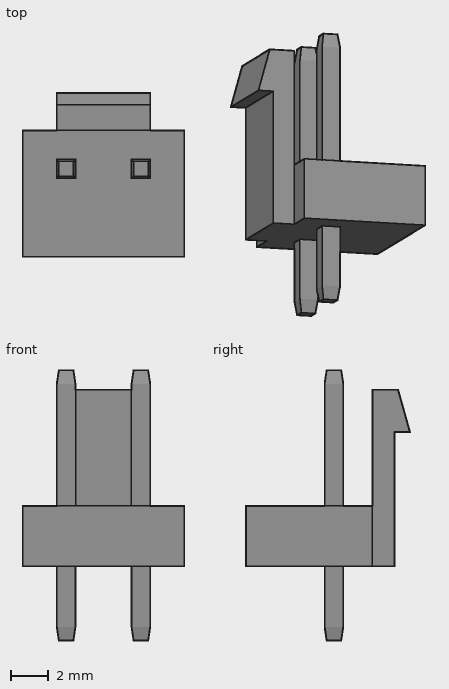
import cadquery as cq


pin_count = 2
pin_pitch = 3.96
pin_width = 1.0
pin_tip_width = 0.78
pin_tip_length = 0.73
pin_length = 14.33
pin_below_base = 3.93

base_length = 8.56
base_depth = 6.70
base_height = 3.20
pin_to_base_back = 2.04

tab_width = pin_pitch * (pin_count - 1) + pin_width
tab_thickness = 1.17
tab_height = 9.36
hook_reach = 8.69 - base_depth
hook_top_thickness = 1.36
hook_bottom_height = 7.11


def make_base():
    """Rectangular block whose back face carries the tab."""
    return cq.Workplane("XY").box(
        base_length, base_depth, base_height, centered=(True, False, False)
    ).translate((0, pin_to_base_back - base_depth, 0))


def make_tab():
    """Upright tab with a sloped, undercut hook along its top."""
    front = pin_to_base_back
    back = front + tab_thickness
    return (
        cq.Workplane("YZ")
        .moveTo(front, 0)
        .lineTo(back, 0)
        .lineTo(back, hook_bottom_height)
        .lineTo(front + hook_reach, hook_bottom_height)
        .lineTo(front + hook_top_thickness, tab_height)
        .lineTo(front, tab_height)
        .close()
        .extrude(tab_width / 2, both=True)
    )


def make_pin_tip():
    """Square taper rising from the full pin section at Z = 0."""
    return (
        cq.Workplane("XY")
        .rect(pin_width, pin_width)
        .workplane(offset=pin_tip_length)
        .rect(pin_tip_width, pin_tip_width)
        .loft(ruled=True)
    )


def make_pin(x):
    """Square pin through the base, tapered at both ends."""
    shank_length = pin_length - 2 * pin_tip_length
    shank = cq.Workplane("XY").box(
        pin_width, pin_width, shank_length, centered=(True, True, False)
    )
    top_tip = make_pin_tip().translate((0, 0, shank_length))
    bottom_tip = make_pin_tip().mirror("XY")
    pin = shank.union(top_tip).union(bottom_tip)
    return pin.translate((x, 0, pin_tip_length - pin_below_base))


result = make_base().union(make_tab())
for index in range(pin_count):
    pin_x = (index - (pin_count - 1) / 2) * pin_pitch
    result = result.union(make_pin(pin_x))